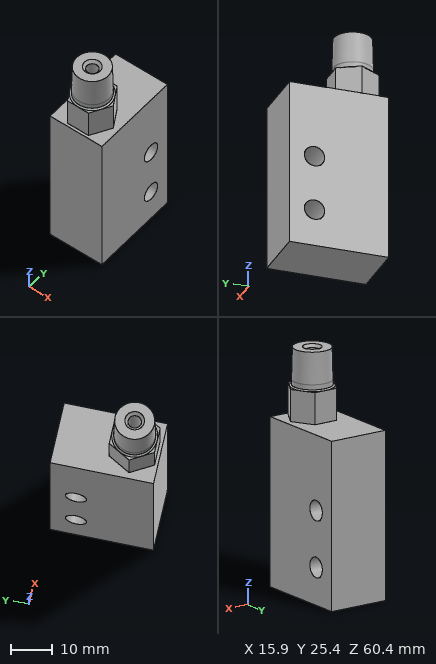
import cadquery as cq
import math

block_width = 15.9
block_depth = 25.4
block_height = 42.65
hole_diameter = 5.1
hole_inset = 6.4
lower_hole_height = 9.55
hole_spacing = 14.25

total_height = 60.35
fitting_inset = 6.35
hex_across_flats = 11.1
hex_height = 8.0
collar_base_diameter = 11.05
collar_diameter = 10.1
collar_step = 0.3
collar_height = 1.55
tip_diameter = 9.65

bore_diameter = 3.2
bore_mouth_diameter = 4.7
bore_depth = 12.1
drill_point_angle = 118.0

fitting_y = fitting_inset - block_depth / 2
hex_top = block_height + hex_height


def make_block():
    """Block with two cross holes running through it along X."""
    block = cq.Workplane("XY").box(
        block_width, block_depth, block_height, centered=(True, True, False)
    )
    hole_y = block_depth / 2 - hole_inset
    hole_centers = [(hole_y, lower_hole_height + i * hole_spacing) for i in range(2)]
    holes = (
        cq.Workplane("YZ")
        .pushPoints(hole_centers)
        .circle(hole_diameter / 2)
        .extrude(block_width / 2, both=True)
    )
    return block.cut(holes)


def make_stem():
    """Tapered stem above the hexagon, revolved about Z."""
    return (
        cq.Workplane("XZ")
        .moveTo(0, hex_top)
        .lineTo(collar_base_diameter / 2, hex_top)
        .lineTo(collar_diameter / 2, hex_top + collar_step)
        .lineTo(collar_diameter / 2, hex_top + collar_height)
        .lineTo(tip_diameter / 2, total_height)
        .lineTo(0, total_height)
        .close()
        .revolve(360, (0, 0, 0), (0, 1, 0))
    )


def make_bore():
    """Blind bore with a 45 degree mouth and a drill point, revolved about Z."""
    radius = bore_diameter / 2
    mouth_radius = bore_mouth_diameter / 2
    mouth_depth = mouth_radius - radius
    bore_floor = total_height - bore_depth
    point_depth = radius / math.tan(math.radians(drill_point_angle / 2))
    return (
        cq.Workplane("XZ")
        .moveTo(0, total_height)
        .lineTo(mouth_radius, total_height)
        .lineTo(radius, total_height - mouth_depth)
        .lineTo(radius, bore_floor)
        .lineTo(0, bore_floor - point_depth)
        .close()
        .revolve(360, (0, 0, 0), (0, 1, 0))
    )


def make_fitting():
    """Hexagon with a tapered, drilled stem; two hexagon corners lie along X."""
    hex_base = (
        cq.Workplane("XY")
        .workplane(offset=block_height)
        .polygon(6, hex_across_flats / math.cos(math.pi / 6))
        .extrude(hex_height)
    )
    fitting = hex_base.union(make_stem()).cut(make_bore())
    return fitting.translate((0, fitting_y, 0))


block = make_block()
fitting = make_fitting()
result = cq.Compound.makeCompound([block.val(), fitting.val()])